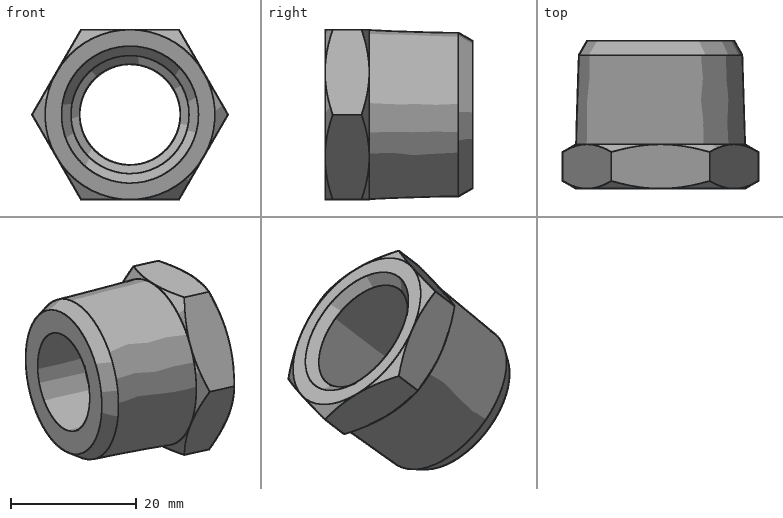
import cadquery as cq
import math

across_corners = 31.18
total_length = 23.5
across_flats = across_corners * math.cos(math.radians(30))

head_length = 7.0
hex_chamfer_angle = 30.0

shank_base_diameter = 26.95
shank_taper = 1 / 16
tip_length = 2.3
tip_diameter = 23.42

mouth_diameter = 21.8
socket_diameter = 18.77
bore_diameter = 15.95
mouth_angle = 45.0
socket_depth = 14.03
seat_angle = 60.0


def revolved(profile):
    """Turn a closed (radius, distance from head face) profile about the Y axis."""
    return cq.Workplane("XY").polyline(profile).close().revolve(360, (0, 0, 0), (0, 1, 0))


def make_head():
    """Hexagon with corners on X, its corners trimmed by a cone at each face."""
    hexagon = (
        cq.Workplane("XZ")
        .polygon(6, across_corners)
        .extrude(-head_length)
    )
    flat_radius = across_flats / 2
    corner_radius = across_corners / 2
    chamfer_height = (corner_radius - flat_radius) * math.tan(math.radians(hex_chamfer_angle))
    envelope = revolved([
        (0, 0),
        (flat_radius, 0),
        (corner_radius, chamfer_height),
        (corner_radius, head_length - chamfer_height),
        (flat_radius, head_length),
        (0, head_length),
    ])
    return hexagon.intersect(envelope)


def make_shank():
    """Tapered shank ending in a steeper lead-in cone."""
    tip_start = total_length - tip_length
    taper_end_diameter = shank_base_diameter - shank_taper * (tip_start - head_length)
    return revolved([
        (0, head_length),
        (shank_base_diameter / 2, head_length),
        (taper_end_diameter / 2, tip_start),
        (tip_diameter / 2, total_length),
        (0, total_length),
    ])


def make_bore():
    """Through bore with a wider socket, a conical seat and a flared mouth."""
    mouth_radius = mouth_diameter / 2
    socket_radius = socket_diameter / 2
    bore_radius = bore_diameter / 2
    mouth_depth = (mouth_radius - socket_radius) / math.tan(math.radians(mouth_angle))
    seat_depth = (socket_radius - bore_radius) / math.tan(math.radians(seat_angle))
    return revolved([
        (0, 0),
        (mouth_radius, 0),
        (socket_radius, mouth_depth),
        (socket_radius, socket_depth),
        (bore_radius, socket_depth + seat_depth),
        (bore_radius, total_length),
        (0, total_length),
    ])


result = make_head().union(make_shank()).cut(make_bore())